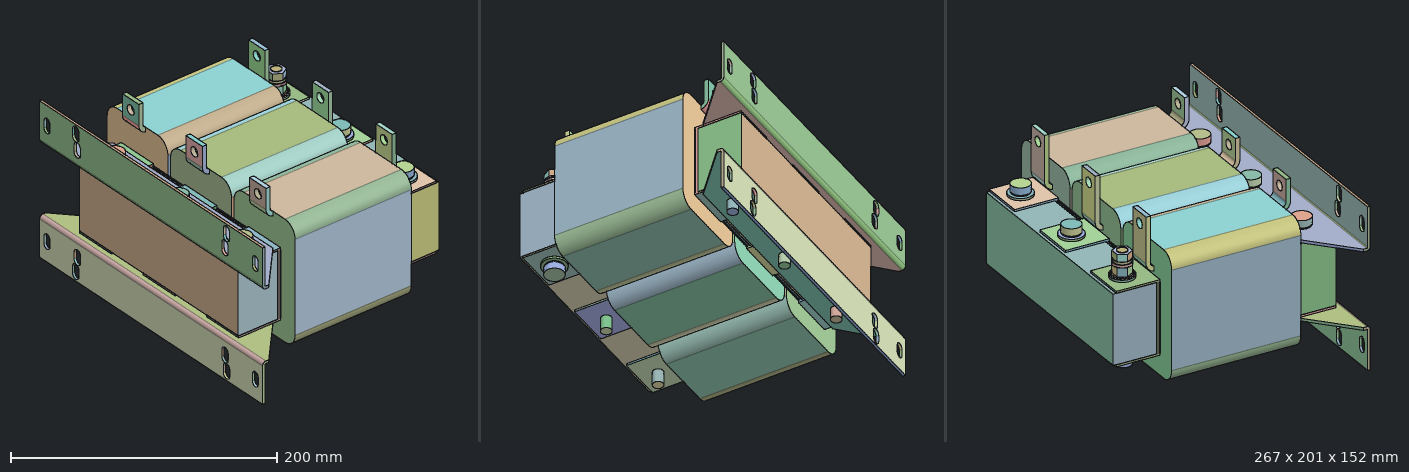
import cadquery as cq
import math


leg_pitch = 76.0
leg_width = 38.0
core_height = 60.5
core_front = 7.5
core_back = 201.0
core_width = 2 * leg_pitch + leg_width
core_top = core_height / 2
yoke_inner_front = core_front + leg_width
yoke_inner_back = core_back - leg_width
core_middle = (core_front + core_back) / 2
leg_positions = [-leg_pitch, 0, leg_pitch]

coil_width = 73.0
coil_length = 112.1
coil_top = 59.8
coil_bottom = -49.5
coil_corner_radius = 12.0
coil_front = core_middle - coil_length / 2
coil_back = core_middle + coil_length / 2

insulation_thickness = 1.74
insulation_overhang = 0.3
insulation_width = leg_width + 2 * insulation_overhang
sheet_front_setback = 0.3
sheet_back_setback = 2.7
insulation_front = core_front + sheet_front_setback
insulation_back = core_back - sheet_back_setback
insulation_top = core_top + insulation_thickness
end_flange_thickness = 0.8
end_flange_overhang = 0.5
end_flange_width = core_width + 2 * end_flange_overhang
window_filler_setback = 0.8
window_filler_top = core_top - window_filler_setback

bracket_length = 267
bracket_thickness = 2.5
bracket_height = 37.5
bracket_depth = 40.9
bracket_bend_radius = 3.2
bracket_straight_edge = 6.0
bracket_top = insulation_top + bracket_thickness
bracket_end = insulation_top + bracket_height

mounting_slots = [
    (124.7, 51.3, 13.0, 6.7),
    (90.2, 61.0, 13.4, 7.5),
    (88.5, 47.5, 13.4, 7.5),
]

terminal_width = 19.8
terminal_thickness = 4.0
terminal_top = 82.5
terminal_bend_radius = 8
terminal_hole_diameter = 8.3
terminal_hole_height = 73.0
front_terminal_face = 41.7
front_terminal_bottom = 55.5
rear_terminal_face = 167.1
rear_terminal_bottom = 35.0
terminal_embedding = 2.7

bolt_front_y = core_front + leg_width / 2
bolt_back_y = core_back - leg_width / 2
shank_diameter = 8.8
head_diameter = 16.3
head_height = 6.7
spring_washer_diameter = 14.7
spring_washer_height = 1.0
flat_washer_diameter = 20.8
flat_washer_height = 2.0
bolt_tip = 44.0

stud_top = 54.5
nut_across_corners = 15.8
lower_nut_height = 8
upper_nut_height = 6.5
stud_washer_height = 2.5
stud_spring_washer_height = 2.1
star_washer_teeth = 20
star_washer_outer_radius = 9.5
star_washer_inner_radius = 8
star_washer_height = 1.0


def box(width, y_start, y_end, z_start, z_end, x=0):
    """Box centred on x, between two Y and two Z positions."""
    return (
        cq.Workplane("XY")
        .box(width, y_end - y_start, z_end - z_start, centered=(True, False, False))
        .translate((x, y_start, z_start))
    )


def disc(x, y, z, diameter, height):
    return cq.Workplane("XY", origin=(x, y, z)).circle(diameter / 2).extrude(height)


def mirror_z(body):
    return body.mirror("XY")


def make_core():
    core = box(core_width, core_front, yoke_inner_front, -core_top, core_top)
    core = core.union(box(core_width, yoke_inner_back, core_back, -core_top, core_top))
    for x in leg_positions:
        core = core.union(box(leg_width, core_front, core_back, -core_top, core_top, x))
    return core


def make_coil(x):
    return (
        box(coil_width, coil_front, coil_back, coil_bottom, coil_top, x)
        .edges("|Y")
        .fillet(coil_corner_radius)
    )


def make_insulation():
    """Collars round the legs, sheets on the yokes, window fillers and coil end flanges."""
    body = box(core_width, yoke_inner_front, coil_front, -window_filler_top, window_filler_top)
    body = body.union(box(core_width, coil_back, yoke_inner_back, -window_filler_top, window_filler_top))
    for x in leg_positions:
        body = body.union(
            box(insulation_width, yoke_inner_front, yoke_inner_back, -insulation_top, insulation_top, x)
        )
        sheet = box(insulation_width, insulation_front, insulation_back, core_top, insulation_top, x)
        body = body.union(sheet).union(mirror_z(sheet))
    for y in (coil_front - end_flange_thickness, coil_back):
        body = body.union(box(end_flange_width, y, y + end_flange_thickness, -core_top, core_top))
    return body


def make_upper_bracket():
    """Bent sheet: a tapered foot on the yoke and an upright slotted flange."""
    bracket = box(bracket_length, 0, bracket_depth, insulation_top, bracket_end)
    inside = box(bracket_length, bracket_thickness, bracket_depth, bracket_top, bracket_end)
    inside = inside.edges("|X and <Y and <Z").fillet(bracket_bend_radius - bracket_thickness)
    bracket = bracket.cut(inside)
    bracket = bracket.edges("|X and <Y and <Z").fillet(bracket_bend_radius)
    half_length = bracket_length / 2
    half_core = core_width / 2
    outline = (
        cq.Workplane("XY", origin=(0, 0, insulation_top))
        .polyline([
            (-half_length, 0),
            (half_length, 0),
            (half_length, bracket_straight_edge),
            (half_core, bracket_depth),
            (-half_core, bracket_depth),
            (-half_length, bracket_straight_edge),
        ])
        .close()
        .extrude(bracket_height)
    )
    bracket = bracket.intersect(outline)
    for distance, height, length, width in mounting_slots:
        slots = (
            cq.Workplane("XZ")
            .pushPoints([(-distance, height), (distance, height)])
            .slot2D(length, width, 90)
            .extrude(-bracket_thickness)
        )
        bracket = bracket.cut(slots)
    return bracket


def make_terminal(x, face, bottom, foot_direction):
    """Upright lug whose bent foot runs into the coil.

    face is the Y position of the outer side and foot_direction the way, +1 or
    -1 along Y, that the foot points.
    """
    foot_length = terminal_bend_radius + terminal_embedding
    inner_radius = terminal_bend_radius - terminal_thickness
    height = terminal_top - bottom
    profile = (
        cq.Workplane("YZ")
        .moveTo(0, height)
        .lineTo(0, terminal_bend_radius)
        .radiusArc((terminal_bend_radius, 0), -terminal_bend_radius)
        .lineTo(foot_length, 0)
        .lineTo(foot_length, terminal_thickness)
        .lineTo(terminal_bend_radius, terminal_thickness)
        .radiusArc((terminal_thickness, terminal_bend_radius), inner_radius)
        .lineTo(terminal_thickness, height)
        .close()
        .extrude(terminal_width / 2, both=True)
    )
    hole = (
        cq.Workplane("XZ")
        .center(0, terminal_hole_height - bottom)
        .circle(terminal_hole_diameter / 2)
        .extrude(-terminal_thickness)
    )
    lug = profile.cut(hole)
    if foot_direction < 0:
        lug = lug.mirror("XZ")
    return lug.translate((x, face, bottom))


def make_head(x, y, z):
    """Cylindrical bolt head on a spring washer, standing at height z."""
    washer = disc(x, y, z, spring_washer_diameter, spring_washer_height)
    return washer.union(disc(x, y, z + spring_washer_height, head_diameter, head_height))


def make_flat_washer(x, y):
    return disc(x, y, insulation_top, flat_washer_diameter, flat_washer_height)


def make_front_bolt(x):
    shank = disc(x, bolt_front_y, -bolt_tip, shank_diameter, bolt_tip + bracket_top)
    return shank.union(make_head(x, bolt_front_y, bracket_top))


def make_back_bolt(x):
    washer_top = insulation_top + flat_washer_height
    shank = disc(x, bolt_back_y, -bolt_tip, shank_diameter, bolt_tip + washer_top)
    bolt = shank.union(make_flat_washer(x, bolt_back_y))
    return bolt.union(make_head(x, bolt_back_y, washer_top))


def make_star_washer(x, y, z):
    points = []
    for i in range(2 * star_washer_teeth):
        radius = star_washer_outer_radius if i % 2 == 0 else star_washer_inner_radius
        angle = math.pi * i / star_washer_teeth
        points.append((radius * math.cos(angle), radius * math.sin(angle)))
    return (
        cq.Workplane("XY", origin=(x, y, z)).polyline(points).close().extrude(star_washer_height)
    )


def make_nut(x, y, z, height):
    return cq.Workplane("XY", origin=(x, y, z)).polygon(6, nut_across_corners).extrude(height)


def make_earthing_stud(x):
    y = bolt_back_y
    washer_top = insulation_top + flat_washer_height
    washer = make_flat_washer(x, y)
    stud = disc(x, y, -washer_top, shank_diameter, washer_top + stud_top)
    stud = stud.union(washer).union(mirror_z(washer))
    stud = stud.union(mirror_z(make_head(x, y, washer_top)))

    z = washer_top
    stud = stud.union(make_star_washer(x, y, z))
    z += star_washer_height
    stud = stud.union(make_nut(x, y, z, lower_nut_height))
    z += lower_nut_height
    stud = stud.union(disc(x, y, z, head_diameter, stud_washer_height))
    z += stud_washer_height
    stud = stud.union(disc(x, y, z, spring_washer_diameter, stud_spring_washer_height))
    z += stud_spring_washer_height
    return stud.union(make_nut(x, y, z, upper_nut_height))


upper_bracket = make_upper_bracket()
result = make_core().union(make_insulation())
result = result.union(upper_bracket).union(mirror_z(upper_bracket))
for leg_x in leg_positions:
    result = result.union(make_coil(leg_x))
    result = result.union(make_terminal(leg_x, front_terminal_face, front_terminal_bottom, 1))
    result = result.union(make_terminal(leg_x, rear_terminal_face, rear_terminal_bottom, -1))
    result = result.union(make_front_bolt(leg_x))
result = result.union(make_earthing_stud(-leg_pitch))
for leg_x in leg_positions[1:]:
    result = result.union(make_back_bolt(leg_x))